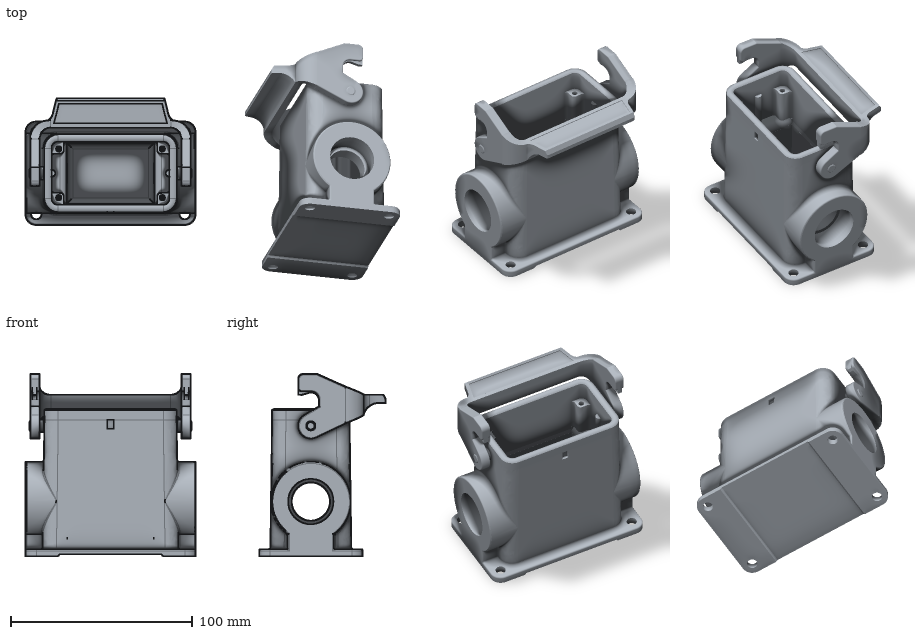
import cadquery as cq
import math

plate_length = 94.0
plate_width = 57.1
plate_height = 3.9
plate_corner_radius = 6.0
edge_fillet = 0.8
root_fillet = 0.8
mount_hole_diameter = 5.6
foot_gap_half = 29.1
foot_height = 1.0

wall_thickness = 4.0
rim_length = 73.0
rim_width = 42.9
rim_base_z = 75.2
rim_edge_z = 80.5
rim_top_z = 81.4
body_corner_radius = 7.5
draft_growth = 1.0
notch_width = 3.7
notch_height = 5.0
notch_depth = 1.4

boss_radius = 22.0
boss_center_z = 30.2
boss_inner_x = 26.2
web_half_width = 12.7
bore_diameter = 25.0
bore_inner_diameter = 21.0
bore_step_x = 33.4

ledge_z = 50.3
ledge_round = 3.6
floor_z = 5.0
floor_fillet = 3.0
lower_cavity_length = 48.7
lower_cavity_width = 34.0
lower_cavity_draft = 0.7
long_wall_step_z = 48.7
long_wall_step_height = 2.4

post_top_z = 69.4
post_inner_x = 25.8
post_inner_y = 10.8
post_corner_radius = 2.0
post_root_radius = 1.5
post_hole_diameter = 3.0
post_hole_depth = 12.1
post_hole_tip_diameter = 1.0
post_hole_x = 28.6
post_hole_y = 13.5
rib_diameter = 4.0

pivot_z = 71.9
pivot_eye_radius = 7.0
arm_outer_x = 44.4
arm_inner_x = 39.0
arm_straight_end_y = 19.1
bow_outer_radius = 10.1
bow_inner_radius = 6.0
bow_back_y = arm_straight_end_y + bow_outer_radius
bar_thickness = bow_outer_radius - bow_inner_radius
bar_half_length = arm_inner_x - bow_inner_radius
bar_top_z = 89.1
bar_bottom_z = 78.0
lever_top_z = 100.6
lever_top_back_y = 3.4
hook_nose_radius = 2.8
hook_lip_radius = 2.0
hook_throat_radius = 4.4
hook_roof_z = 90.9
hook_back_y = 4.4
hook_back_low_z = 82.7
lever_edge_fillet = 0.6

tongue_width = 2.4
tongue_center_x = 41.8
collar_diameter = 7.0
axle_diameter = 4.0
rivet_diameter = 5.1
rivet_height = 0.4

wing_end_y = 41.4
wing_end_half_length = 29.8
wing_flare_half_length = 32.1
wing_flare_y = 32.1
wing_root_half_length = 35.6
wing_root_y = 28.6
wing_underside_z = 84.4
wing_underside_end_y = 36.1
wing_underside_mid = (32.5, 82.9)
wing_corner_radius = 1.2
wing_nose_y = 40.0
wing_nose_z = 86.6
panel_depth = 0.4

cavity_length = rim_length - 2 * wall_thickness
cavity_width = rim_width - 2 * wall_thickness
cavity_corner_radius = body_corner_radius - wall_thickness
cavity_half_length = cavity_length / 2
cavity_half_width = cavity_width / 2
SIDES = (-1, 1)
CORNER_STEPS = 4


def rounded_block(length, width, corner_radius, bottom_z, top_z):
    """Upright block with rounded vertical edges, centred on the Z axis."""
    block = cq.Workplane("XY").box(length, width, top_z - bottom_z, centered=(True, True, False))
    return block.translate((0, 0, bottom_z)).edges("|Z").fillet(corner_radius)


def x_cylinder(diameter, start_x, end_x, center_z):
    """Cylinder along X between two X positions, at Y = 0."""
    disc = cq.Workplane("YZ", origin=(start_x, 0, center_z)).circle(diameter / 2)
    return disc.extrude(end_x - start_x)


def base_plate():
    plate = rounded_block(plate_length, plate_width, plate_corner_radius, 0, plate_height)
    return plate.faces(">Z").edges().fillet(edge_fillet)


def outer_shell():
    """Solid body: drafted lower part and straight rim."""
    base = cq.Sketch().rect(rim_length + 2 * draft_growth, rim_width + 2 * draft_growth)
    top = cq.Sketch().rect(rim_length, rim_width)
    drafted = (
        cq.Workplane("XY", origin=(0, 0, foot_height))
        .placeSketch(
            base.vertices().fillet(body_corner_radius),
            top.vertices().fillet(body_corner_radius).moved(cq.Location((0, 0, rim_base_z - foot_height))),
        )
        .loft(ruled=True)
    )
    rim = rounded_block(rim_length, rim_width, body_corner_radius, rim_base_z, rim_edge_z)
    return drafted.union(rim)


def rim_crown():
    """Rounded bead along the top of the rim, bulging over the wall thickness."""
    mid_radius = body_corner_radius - wall_thickness / 2
    path = cq.Workplane("XY").add(
        rounded_block(
            rim_length - wall_thickness, rim_width - wall_thickness, mid_radius, rim_edge_z - 1, rim_edge_z
        ).faces(">Z").wires().vals()
    ).toPending()
    wall_center_y = -(rim_width - wall_thickness) / 2
    return (
        cq.Workplane("YZ", origin=(0, wall_center_y, rim_edge_z))
        .moveTo(-wall_thickness / 2, 0)
        .threePointArc((0, rim_top_z - rim_edge_z), (wall_thickness / 2, 0))
        .close()
        .sweep(path)
    )


def conduit_boss(side):
    """Round cable entry on one end, with the web that carries it down to the plate."""
    length = plate_length / 2 - boss_inner_x
    boss = cq.Workplane("YZ", origin=(boss_inner_x, 0, boss_center_z)).circle(boss_radius).extrude(length)
    web = cq.Workplane("XY").box(length, 2 * web_half_width, boss_center_z, centered=(False, True, False))
    boss = boss.union(web.translate((boss_inner_x, 0, 0))).faces(">X").edges().fillet(edge_fillet)
    return boss if side > 0 else boss.mirror("YZ")


def cavity():
    """Wide upper chamber and the narrower chamber below it, between rounded ledges."""
    upper = rounded_block(cavity_length, cavity_width, cavity_corner_radius, ledge_z, rim_top_z)
    lower = (
        cq.Workplane("XY", origin=(0, 0, ledge_z))
        .rect(lower_cavity_length, lower_cavity_width)
        .extrude(floor_z - ledge_z, taper=lower_cavity_draft)
        .faces("<Z")
        .edges()
        .fillet(floor_fillet)
    )
    long_wall_step = (
        cq.Workplane("YZ", origin=(-lower_cavity_length / 2, 0, 0))
        .moveTo(-cavity_half_width, ledge_z)
        .lineTo(-cavity_half_width, long_wall_step_z)
        .lineTo(-lower_cavity_width / 2, long_wall_step_z - long_wall_step_height)
        .lineTo(lower_cavity_width / 2, long_wall_step_z - long_wall_step_height)
        .lineTo(cavity_half_width, long_wall_step_z)
        .lineTo(cavity_half_width, ledge_z)
        .close()
        .extrude(lower_cavity_length)
    )
    half = lower_cavity_length / 2
    ledge_edge_gap = (
        cq.Workplane("XZ", origin=(0, lower_cavity_width / 2, 0))
        .moveTo(-half, ledge_z - ledge_round)
        .radiusArc((-half - ledge_round, ledge_z), -ledge_round)
        .lineTo(half + ledge_round, ledge_z)
        .radiusArc((half, ledge_z - ledge_round), -ledge_round)
        .close()
        .extrude(lower_cavity_width)
    )
    return upper.union(lower).union(long_wall_step).union(ledge_edge_gap)


def conduit_bores():
    half = plate_length / 2
    bores = x_cylinder(bore_inner_diameter, -half, half, boss_center_z)
    for side in SIDES:
        bores = bores.union(x_cylinder(bore_diameter, side * bore_step_x, side * half, boss_center_z))
    return bores


def screw_post(side_x, side_y):
    """Corner post on the ledge, rounded at its free corner and flared into both walls."""
    post = (
        cq.Workplane("XY", origin=(0, 0, ledge_z))
        .moveTo(post_inner_x - post_root_radius, cavity_half_width)
        .radiusArc((post_inner_x, cavity_half_width - post_root_radius), post_root_radius)
        .lineTo(post_inner_x, post_inner_y + post_corner_radius)
        .radiusArc((post_inner_x + post_corner_radius, post_inner_y), -post_corner_radius)
        .lineTo(cavity_half_length - post_root_radius, post_inner_y)
        .radiusArc((cavity_half_length, post_inner_y - post_root_radius), post_root_radius)
        .lineTo(cavity_half_length + wall_thickness / 2, post_inner_y - post_root_radius)
        .lineTo(cavity_half_length + wall_thickness / 2, cavity_half_width - cavity_corner_radius)
        .lineTo(cavity_half_length - cavity_corner_radius, cavity_half_width + wall_thickness / 2)
        .lineTo(post_inner_x - post_root_radius, cavity_half_width + wall_thickness / 2)
        .close()
        .extrude(post_top_z - ledge_z)
    )
    hole = cq.Workplane(
        cq.Solid.makeCone(
            post_hole_diameter / 2,
            post_hole_tip_diameter / 2,
            post_hole_depth,
            pnt=cq.Vector(post_hole_x, post_hole_y, post_top_z),
            dir=cq.Vector(0, 0, -1),
        )
    )
    post = post.cut(hole)
    if side_x < 0:
        post = post.mirror("YZ")
    if side_y < 0:
        post = post.mirror("XZ")
    return post


def end_rib(side):
    """Half-round upright rib in the middle of an end wall."""
    rib = cq.Workplane("XY", origin=(side * cavity_half_length, 0, ledge_z)).circle(rib_diameter / 2)
    return rib.extrude(post_top_z - ledge_z)


def mount_holes():
    spacing_x = plate_length - 2 * plate_corner_radius
    spacing_y = plate_width - 2 * plate_corner_radius
    holes = cq.Workplane("XY").rect(spacing_x, spacing_y, forConstruction=True).vertices()
    return holes.circle(mount_hole_diameter / 2).extrude(plate_height)


def foot_gap():
    """Shallow recess across the underside that leaves a foot at each end."""
    return (
        cq.Workplane("XZ", origin=(0, plate_width / 2, 0))
        .moveTo(-foot_gap_half, 0)
        .lineTo(-foot_gap_half + foot_height, foot_height)
        .lineTo(foot_gap_half - foot_height, foot_height)
        .lineTo(foot_gap_half, 0)
        .close()
        .extrude(plate_width)
    )


def rim_notch():
    """Small keying notch in the front wall, just under the rim."""
    notch = cq.Workplane("XY").box(notch_width, 2 * notch_depth, notch_height)
    return notch.translate((0, -rim_width / 2, rim_base_z - notch_height / 2))


def boss_root_zone(side):
    """Selects the edges where one conduit boss and its web meet the shell."""
    shell_end_x = rim_length / 2 + draft_growth + root_fillet
    low = min(side * boss_inner_x, side * shell_end_x)
    high = max(side * boss_inner_x, side * shell_end_x)
    return cq.selectors.BoxSelector((low, -plate_width, plate_height), (high, plate_width, rim_base_z - 1))


def plate_root_zone():
    """Selects the edges where the shell and the webs stand on the plate."""
    reach_x = rim_length / 2 + draft_growth + root_fillet
    reach_y = rim_width / 2 + draft_growth + root_fillet
    return cq.selectors.BoxSelector(
        (-reach_x, -reach_y, plate_height - 0.1), (reach_x, reach_y, plate_height + 0.1)
    )


def make_housing():
    body = outer_shell()
    for side in SIDES:
        body = body.union(conduit_boss(side))
    body = body.edges(boss_root_zone(1)).fillet(root_fillet).edges(boss_root_zone(-1)).fillet(root_fillet)
    body = base_plate().union(body).edges(plate_root_zone()).fillet(root_fillet).union(rim_crown())
    body = body.cut(cavity()).cut(conduit_bores()).cut(mount_holes()).cut(foot_gap()).cut(rim_notch())
    for side_x in SIDES:
        body = body.union(end_rib(side_x))
        for side_y in SIDES:
            body = body.union(screw_post(side_x, side_y))
    return body.cut(x_cylinder(axle_diameter, -arm_inner_x, arm_inner_x, pivot_z))


def tangent_point(y, z, turn):
    """Point where a line from (y, z) touches the pivot eye; turn picks one of the two tangents."""
    distance = math.hypot(y, z - pivot_z)
    angle = math.atan2(z - pivot_z, y) + turn * math.acos(pivot_eye_radius / distance)
    return (pivot_eye_radius * math.cos(angle), pivot_z + pivot_eye_radius * math.sin(angle))


def slope_z(start, end):
    """Height of the line from start to end, given as (y, z), where the straight arm ends."""
    fraction = (arm_straight_end_y - start[0]) / (end[0] - start[0])
    return start[1] + fraction * (end[1] - start[1])


def lever_side_outline():
    """Side shape of the lever, extruded over its full width: pivot eye, hook and sloping arm."""
    nose_y = -pivot_eye_radius
    eye_front = tangent_point(hook_back_y, hook_back_low_z, 1)
    eye_back = tangent_point(bow_back_y, bar_bottom_z, -1)
    outline = (
        cq.Workplane("YZ", origin=(-arm_outer_x, 0, 0))
        .moveTo(bow_back_y, bar_bottom_z)
        .lineTo(bow_back_y, bar_top_z)
        .lineTo(lever_top_back_y, lever_top_z)
        .lineTo(nose_y + hook_nose_radius, lever_top_z)
        .radiusArc((nose_y, lever_top_z - hook_nose_radius), -hook_nose_radius)
        .lineTo(nose_y, hook_roof_z + hook_lip_radius)
        .radiusArc((nose_y + hook_lip_radius, hook_roof_z), -hook_lip_radius)
        .lineTo(hook_back_y - hook_throat_radius, hook_roof_z)
        .radiusArc((hook_back_y, hook_roof_z - hook_throat_radius), hook_throat_radius)
        .lineTo(hook_back_y, hook_back_low_z)
        .lineTo(*eye_front)
        .threePointArc((nose_y * math.cos(math.pi / 4), pivot_z + nose_y * math.sin(math.pi / 4)), eye_back)
        .close()
    )
    return outline.extrude(2 * arm_outer_x)


def bow_plan():
    """U shape seen from above: two arms joined by a back bar through rounded corners."""
    height = 2 * lever_top_z
    depth = bow_back_y + pivot_eye_radius
    outer = cq.Workplane("XY").box(2 * arm_outer_x, depth, height, centered=(True, False, True))
    outer = outer.translate((0, -pivot_eye_radius, 0)).edges("|Z and >Y").fillet(bow_outer_radius)
    inner_depth = depth - bow_outer_radius + bow_inner_radius
    inner = cq.Workplane("XY").box(2 * arm_inner_x, inner_depth, height, centered=(True, False, True))
    inner = inner.translate((0, -pivot_eye_radius, 0)).edges("|Z and >Y").fillet(bow_inner_radius)
    return outer.cut(inner)


def lever_arm(side):
    """One straight arm with its pivot eye and hook."""
    length = arm_straight_end_y + pivot_eye_radius
    slab = cq.Workplane("XY").box(arm_outer_x - arm_inner_x, length, lever_top_z, centered=(True, False, False))
    slab = slab.translate((side * (arm_outer_x + arm_inner_x) / 2, -pivot_eye_radius, 0))
    return slab.intersect(lever_side_outline())


def bow_corner(side):
    """Rounded corner whose height shrinks from that of the arm to that of the back bar."""
    arm_top_z = slope_z((lever_top_back_y, lever_top_z), (bow_back_y, bar_top_z))
    arm_bottom_z = slope_z(tangent_point(bow_back_y, bar_bottom_z, -1), (bow_back_y, bar_bottom_z))
    near = bow_inner_radius / 2
    far = 2 * bow_outer_radius
    sections = []
    for step in range(CORNER_STEPS + 1):
        angle = math.pi / 2 * step / CORNER_STEPS
        top_z = arm_top_z + (bar_top_z - arm_top_z) * math.sin(angle)
        bottom_z = arm_bottom_z + (bar_bottom_z - arm_bottom_z) * math.sin(angle)
        corners = [
            cq.Vector(
                side * (bar_half_length + reach * math.cos(angle)),
                arm_straight_end_y + reach * math.sin(angle),
                z,
            )
            for reach, z in ((near, bottom_z), (far, bottom_z), (far, top_z), (near, top_z))
        ]
        sections.append(cq.Wire.makePolygon(corners, close=True))
    envelope = cq.Workplane(cq.Solid.makeLoft(sections))
    return bow_plan().intersect(envelope)


def lever_side(side):
    """Arm and corner as one piece, with rounded edges inside and outside."""
    piece = lever_arm(side).union(bow_corner(side))
    edges = piece.faces(arm_face(side * arm_outer_x)).edges()
    return edges.add(piece.faces(arm_face(side * arm_inner_x)).edges()).fillet(lever_edge_fillet)


def arm_face(position_x):
    """Selects the flat face of an arm at one X position."""
    return cq.selectors.BoxSelector(
        (position_x - 0.1, -pivot_eye_radius, 0), (position_x + 0.1, arm_straight_end_y, lever_top_z)
    )


def back_bar():
    """Straight bar across the back, rounded along its inner edges."""
    bar = cq.Workplane("XY").box(
        2 * bar_half_length, bar_thickness, bar_top_z - bar_bottom_z, centered=(True, False, False)
    )
    bar = bar.edges("|X and <Y").fillet(lever_edge_fillet)
    return bar.translate((0, bow_back_y - bar_thickness, bar_bottom_z))


def wing():
    """Finger tab behind the bar: flared in plan, and rounded underneath into the bar."""
    inner_y = bow_back_y - bar_thickness
    plan = (
        cq.Workplane("XY")
        .moveTo(-bar_half_length, inner_y)
        .lineTo(-wing_root_half_length, wing_root_y)
        .threePointArc((-33.5, 29.9), (-wing_flare_half_length, wing_flare_y))
        .lineTo(-wing_end_half_length, wing_end_y)
        .lineTo(wing_end_half_length, wing_end_y)
        .lineTo(wing_flare_half_length, wing_flare_y)
        .threePointArc((33.5, 29.9), (wing_root_half_length, wing_root_y))
        .lineTo(bar_half_length, inner_y)
        .close()
        .extrude(lever_top_z)
        .edges("|Z and >Y")
        .fillet(wing_corner_radius)
    )
    side = (
        cq.Workplane("YZ", origin=(-arm_outer_x, 0, 0))
        .moveTo(inner_y, bar_top_z)
        .lineTo(wing_nose_y, bar_top_z)
        .lineTo(wing_end_y, wing_nose_z)
        .lineTo(wing_end_y, wing_underside_z)
        .lineTo(wing_underside_end_y, wing_underside_z)
        .threePointArc(wing_underside_mid, (bow_back_y, bar_bottom_z))
        .lineTo(inner_y, bar_bottom_z)
        .close()
        .extrude(2 * arm_outer_x)
    )
    return plan.intersect(side)


def wing_panel():
    """Shallow trapezoid panel sunk into the top of the wing."""
    return (
        cq.Workplane("XY", origin=(0, 0, bar_top_z - panel_depth))
        .polyline([(-31.2, 27.5), (31.2, 27.5), (28.5, 38.3), (-28.5, 38.3)])
        .close()
        .extrude(2 * panel_depth)
    )


def hook_tongue(side):
    """Narrow latching tongue that lines the mouth of one hook."""
    nose_y = -pivot_eye_radius
    return (
        cq.Workplane("YZ", origin=(side * tongue_center_x, 0, 0))
        .moveTo(nose_y, hook_roof_z + hook_lip_radius)
        .lineTo(nose_y, 89.0)
        .lineTo(-5, 88.9)
        .lineTo(-1.5, 89.9)
        .threePointArc((2.6, 89.5), (hook_back_y, 86.5))
        .lineTo(hook_back_y, hook_roof_z + hook_lip_radius)
        .close()
        .extrude(tongue_width / 2, both=True)
    )


def pivot_pin(side):
    """Pin fixed in one arm: collar against the housing, axle in its wall, rivet head outside."""
    collar_end_x = rim_length / 2 + 0.2
    collar = x_cylinder(collar_diameter, side * collar_end_x, side * (arm_inner_x + 1), pivot_z)
    axle = x_cylinder(axle_diameter, side * cavity_half_length, side * arm_inner_x, pivot_z)
    rivet = x_cylinder(rivet_diameter, side * arm_inner_x, side * (arm_outer_x + rivet_height), pivot_z)
    rivet = rivet.faces(">X" if side > 0 else "<X").edges().chamfer(rivet_height - 0.1, 0.5)
    return collar.union(axle).union(rivet)


def make_lever():
    body = back_bar()
    for side in SIDES:
        body = body.union(lever_side(side))
    body = body.union(wing()).cut(wing_panel())
    for side in SIDES:
        body = body.union(hook_tongue(side)).union(pivot_pin(side))
    return body


housing = make_housing()
lever = make_lever()

result = cq.Compound.makeCompound([housing.val(), lever.val()])